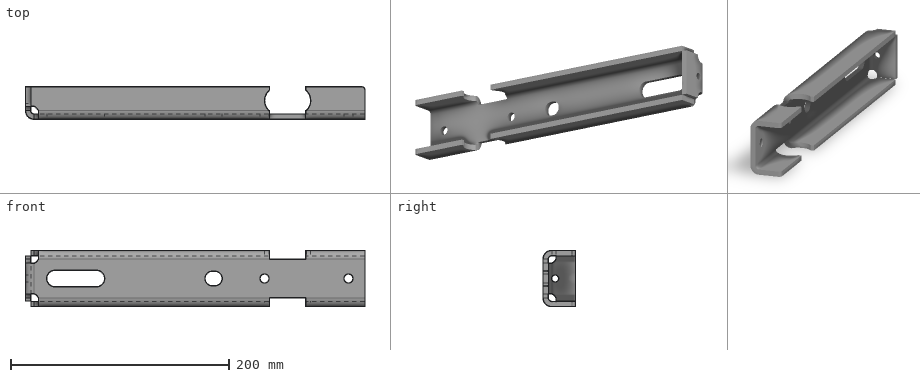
import cadquery as cq
import math

LENGTH = 311.5
DEPTH = 30.0
HEIGHT = 51.7
HALF_HEIGHT = HEIGHT / 2

THICKNESS = 5.0
BEND_RADIUS = 8.0
INNER_RADIUS = BEND_RADIUS - THICKNESS
END_CLEARANCE = 0.15
FREE_CORNER_RADIUS = 3.0

RELIEF_RADIUS = 7.5
RELIEF_CENTER = THICKNESS
RELIEF_REACH = RELIEF_CENTER + math.sqrt(RELIEF_RADIUS**2 - (BEND_RADIUS - RELIEF_CENTER) ** 2)

WEB_SLOTS = [(46.0, 53.0, 15.0), (172.5, 15.5, 13.0)]
WEB_HOLE_DIAMETER = 8.0
WEB_HOLE_POSITIONS = [219.3, 296.2]

END_HOLE_DIAMETER = 6.2
END_HOLE_Y = 11.2

GAP_CENTER = 240.5
GAP_WIDTH = 33.0
GAP_SLOT_LENGTH = 42.0
GAP_SLOT_WIDTH = 25.0
GAP_SLOT_Y = 17.0


def box(x_range, y_range, z_range):
    """Box spanning the given (low, high) ranges."""
    sizes = [high - low for low, high in (x_range, y_range, z_range)]
    corner = (x_range[0], y_range[0], z_range[0])
    return cq.Workplane("XY").box(*sizes, centered=False).translate(corner)


def make_channel():
    """U-shaped channel with rounded bends and rounded free corners at +X."""
    start = THICKNESS
    inner_half = HALF_HEIGHT - THICKNESS
    outer = box((start, LENGTH), (0, DEPTH), (-HALF_HEIGHT, HALF_HEIGHT))
    outer = outer.edges("|X and <Y").fillet(BEND_RADIUS)
    inner = box((start, LENGTH), (THICKNESS, DEPTH), (-inner_half, inner_half))
    inner = inner.edges("|X and <Y").fillet(INNER_RADIUS)
    channel = outer.cut(inner).edges("|Z and >X and >Y").fillet(FREE_CORNER_RADIUS)
    end_zone = box((0, BEND_RADIUS), (0, BEND_RADIUS), (-HALF_HEIGHT, HALF_HEIGHT))
    return channel.cut(end_zone)


def make_end_flange():
    """End flange with its bend, as an L-shaped strip overlapping the web."""
    half = HALF_HEIGHT - THICKNESS - END_CLEARANCE
    reach = RELIEF_REACH
    outer = box((0, reach), (0, DEPTH), (-half, half))
    outer = outer.edges("|Z and <X and <Y").fillet(BEND_RADIUS)
    inner = box((THICKNESS, reach), (THICKNESS, DEPTH), (-half, half))
    inner = inner.edges("|Z and <X and <Y").fillet(INNER_RADIUS)
    return outer.cut(inner)


def make_upper_relief():
    """Corner opening: trims the three bends and rounds the corner of each flat."""
    bend = (0, BEND_RADIUS)
    flat = (BEND_RADIUS, RELIEF_REACH)
    sheet = (0, THICKNESS)
    reach = (0, RELIEF_REACH)
    cutter = box(reach, bend, bend)
    cutter = cutter.union(box(bend, reach, bend))
    cutter = cutter.union(box(bend, bend, reach))
    center = (RELIEF_CENTER, RELIEF_CENTER)
    flat_corners = [
        ("XY", 1, (flat, flat, sheet)),
        ("YZ", 1, (sheet, flat, flat)),
        ("XZ", -1, (flat, sheet, flat)),
    ]
    for plane, direction, ranges in flat_corners:
        disc = cq.Workplane(plane).center(*center).circle(RELIEF_RADIUS)
        disc = disc.extrude(direction * THICKNESS)
        cutter = cutter.union(disc.intersect(box(*ranges)))
    return cutter.mirror("XY").translate((0, 0, HALF_HEIGHT))


def cut_reliefs(body):
    upper = make_upper_relief()
    return body.cut(upper).cut(upper.mirror("XY"))


def cut_web_openings(body):
    for x, length, width in WEB_SLOTS:
        slot = cq.Workplane("XZ").center(x, 0).slot2D(length, width)
        body = body.cut(slot.extrude(-THICKNESS))
    for x in WEB_HOLE_POSITIONS:
        hole = cq.Workplane("XZ").center(x, 0).circle(WEB_HOLE_DIAMETER / 2)
        body = body.cut(hole.extrude(-THICKNESS))
    return body


def cut_end_hole(body):
    hole = cq.Workplane("YZ").center(END_HOLE_Y, 0).circle(END_HOLE_DIAMETER / 2)
    return body.cut(hole.extrude(THICKNESS))


def cut_flange_gap(body):
    """Remove both side flanges and their bends along the gap, leaving the flat web."""
    gap = (GAP_CENTER - GAP_WIDTH / 2, GAP_CENTER + GAP_WIDTH / 2)
    bend_edge = HALF_HEIGHT - BEND_RADIUS
    cutter = box(gap, (0, DEPTH), (bend_edge, HALF_HEIGHT))
    slot = cq.Workplane("XY", origin=(GAP_CENTER, GAP_SLOT_Y, bend_edge))
    slot = slot.slot2D(GAP_SLOT_LENGTH, GAP_SLOT_WIDTH).extrude(BEND_RADIUS)
    flat_zone = box((0, LENGTH), (BEND_RADIUS, DEPTH), (bend_edge, HALF_HEIGHT))
    cutter = cutter.union(slot.intersect(flat_zone))
    return body.cut(cutter).cut(cutter.mirror("XY"))


body = make_channel().union(make_end_flange())
body = cut_reliefs(body)
body = cut_web_openings(body)
body = cut_end_hole(body)
result = cut_flange_gap(body)